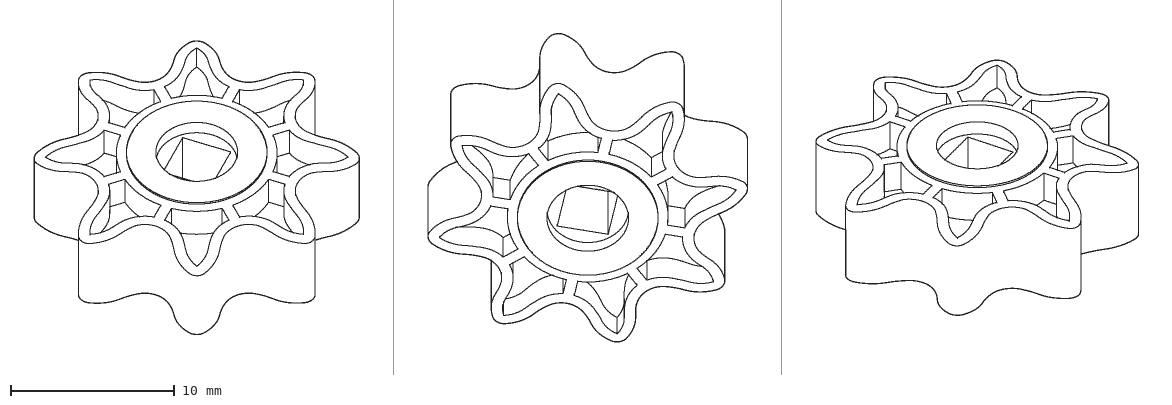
import cadquery as cq
import math

TOOTH_COUNT = 8
OUTER_SIZE = 18.49
TOTAL_HEIGHT = 6.35
RIM_HEIGHT = 6.08
WEB_THICKNESS = 2.03

WALL = 0.7
RIB_WIDTH = 0.7

PITCH_RADIUS = 8.3
SEAT_RADIUS = 1.65
SEAT_HALF_ANGLE = 47.0
WORKING_RADIUS = 4.29
WORKING_ANGLE = 11.0
FLANK_LENGTH = 0.2

CONE_START_RADIUS = 7.17
CONE_DROP = 0.45

HUB_RADIUS = 4.3
RING_RADIUS = 4.92
BORE_SQUARE = 3.18
RECESS_DIAMETER = 5.0
RECESS_DEPTH = 0.9

TOOTH_ANGLE = 360.0 / TOOTH_COUNT
HALF_TOOTH = math.radians(TOOTH_ANGLE / 2)
TIP_RADIUS = WALL
TIP_CENTRE_RADIUS = (OUTER_SIZE / 2 - TIP_RADIUS) / math.cos(HALF_TOOTH)
OUTER_RADIUS = TIP_CENTRE_RADIUS + TIP_RADIUS


def rotate(point, angle):
    """Turn a point about the origin by an angle in radians."""
    x, y = point
    return (x * math.cos(angle) - y * math.sin(angle), x * math.sin(angle) + y * math.cos(angle))


def mirror_x(point):
    return (-point[0], point[1])


def on_arc(centre, radius, angle):
    """Point of a circle; the angle is in radians from +X."""
    return (centre[0] + radius * math.cos(angle), centre[1] + radius * math.sin(angle))


def flank_points(inset):
    """Points of one flank, from the root on the Y axis to the tip, moved into the tooth by inset.

    Order: root, seat middle, seat end, working middle, working end,
    topping start, topping middle, topping end. Neighbouring stretches are tangent.
    """
    down = -math.pi / 2
    seat_angle = math.radians(SEAT_HALF_ANGLE)
    working_angle = math.radians(WORKING_ANGLE)
    heading = seat_angle + working_angle

    seat_centre = (0, PITCH_RADIUS)
    seat_radius = SEAT_RADIUS + inset
    root = on_arc(seat_centre, seat_radius, down)
    seat_middle = on_arc(seat_centre, seat_radius, down + seat_angle / 2)
    seat_end = on_arc(seat_centre, seat_radius, down + seat_angle)

    working_centre = on_arc(seat_centre, SEAT_RADIUS - WORKING_RADIUS, down + seat_angle)
    working_radius = WORKING_RADIUS + inset
    working_middle = on_arc(working_centre, working_radius, down + seat_angle + working_angle / 2)
    working_end = on_arc(working_centre, working_radius, down + heading)
    topping_start = on_arc(working_end, FLANK_LENGTH, heading)

    inward = (math.sin(heading), -math.cos(heading))
    flank_end = (topping_start[0] - inset * inward[0], topping_start[1] - inset * inward[1])
    tip_centre = rotate((0, TIP_CENTRE_RADIUS), -HALF_TOOTH)
    gap = (flank_end[0] - tip_centre[0], flank_end[1] - tip_centre[1])
    gap_inward = gap[0] * inward[0] + gap[1] * inward[1]
    topping_radius = (TIP_RADIUS**2 - gap[0]**2 - gap[1]**2) / (2 * (gap_inward + TIP_RADIUS))

    topping_centre = on_arc(flank_end, topping_radius, heading + down)
    start_angle = heading - down
    end_angle = math.atan2(tip_centre[1] - topping_centre[1], tip_centre[0] - topping_centre[0])
    topping_middle = on_arc(topping_centre, topping_radius - inset, (start_angle + end_angle) / 2)
    topping_end = on_arc(topping_centre, topping_radius - inset, end_angle)

    return [root, seat_middle, seat_end, working_middle, working_end,
            topping_start, topping_middle, topping_end]


def add_flank_up(sketch, points):
    """Draw a flank from its root to its tip."""
    _, seat_middle, seat_end, working_middle, working_end, topping_start, topping_middle, topping_end = points
    sketch = sketch.threePointArc(seat_middle, seat_end)
    sketch = sketch.threePointArc(working_middle, working_end)
    sketch = sketch.lineTo(*topping_start)
    return sketch.threePointArc(topping_middle, topping_end)


def add_flank_down(sketch, points):
    """Draw a flank from its tip to its root."""
    root, seat_middle, seat_end, working_middle, working_end, topping_start, topping_middle, _ = points
    sketch = sketch.threePointArc(topping_middle, topping_start)
    sketch = sketch.lineTo(*working_end)
    sketch = sketch.threePointArc(working_middle, seat_end)
    return sketch.threePointArc(seat_middle, root)


def tooth_flanks(inset, index):
    """Rising and falling flank of one tooth, counted clockwise from the +Y axis."""
    points = flank_points(inset)
    turn = -math.radians(TOOTH_ANGLE)
    rising = [rotate(point, turn * index) for point in points]
    falling = [rotate(mirror_x(point), turn * (index + 1)) for point in points]
    return rising, falling


def make_toothed_body():
    sketch = cq.Workplane("XY").workplane(offset=-RIM_HEIGHT / 2).moveTo(*flank_points(0)[0])
    for index in range(TOOTH_COUNT):
        rising, falling = tooth_flanks(0, index)
        tip = rotate((0, OUTER_RADIUS), -HALF_TOOTH * (2 * index + 1))
        sketch = add_flank_up(sketch, rising)
        sketch = sketch.threePointArc(tip, falling[-1])
        sketch = add_flank_down(sketch, falling)
    return sketch.close().extrude(RIM_HEIGHT)


def make_cone_envelope():
    """Disc whose upper and lower faces slope towards each other near the tooth tips."""
    top = RIM_HEIGHT / 2
    edge = top - CONE_DROP
    outline = [(0, -top), (CONE_START_RADIUS, -top), (OUTER_RADIUS, -edge),
               (OUTER_RADIUS, edge), (CONE_START_RADIUS, top), (0, top)]
    return cq.Workplane("XZ").polyline(outline).close().revolve(360, (0, 0), (0, 1))


def make_pocket_pair(index):
    """Upper and lower pocket of one tooth, bounded by the tooth wall, the hub ring and two ribs."""
    rising, falling = tooth_flanks(WALL, index)
    sketch = cq.Workplane("XY").workplane(offset=-RIM_HEIGHT / 2).lineTo(*rising[0])
    sketch = add_flank_up(sketch, rising)
    sketch = add_flank_down(sketch, falling)
    pocket = sketch.close().extrude(RIM_HEIGHT)

    keep = cq.Workplane("XY").circle(RING_RADIUS).extrude(RIM_HEIGHT / 2, both=True)
    for side in (index, index + 1):
        rib = cq.Workplane("XY").box(RIB_WIDTH, 2 * OUTER_RADIUS, RIM_HEIGHT)
        keep = keep.union(rib.rotate((0, 0, 0), (0, 0, 1), -TOOTH_ANGLE * side))
    web = cq.Workplane("XY").box(2 * OUTER_RADIUS, 2 * OUTER_RADIUS, WEB_THICKNESS)
    return pocket.cut(keep).cut(web)


def make_hub():
    return cq.Workplane("XY").circle(HUB_RADIUS).extrude(TOTAL_HEIGHT / 2, both=True)


def make_bore():
    """Square through hole with a round recess in each hub face."""
    bore = cq.Workplane("XY").rect(BORE_SQUARE, BORE_SQUARE).extrude(TOTAL_HEIGHT / 2, both=True)
    for face, direction in ((TOTAL_HEIGHT / 2, -1), (-TOTAL_HEIGHT / 2, 1)):
        recess = cq.Workplane("XY").workplane(offset=face).circle(RECESS_DIAMETER / 2)
        bore = bore.union(recess.extrude(direction * RECESS_DEPTH))
    return bore


sprocket = make_toothed_body().intersect(make_cone_envelope())
for tooth in range(TOOTH_COUNT):
    sprocket = sprocket.cut(make_pocket_pair(tooth))
result = sprocket.union(make_hub()).cut(make_bore())